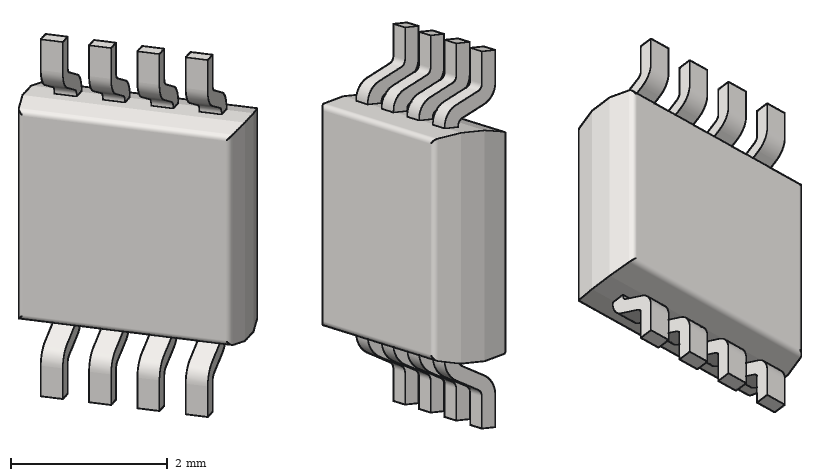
import cadquery as cq
import math


overall_height = 4.9
housing_side = 3.0
housing_depth = 1.1

band_depth = 0.35
wall_taper = 10.0
face_edge_radius = 0.08

leads_per_side = 4
lead_pitch = 0.65
lead_width = 0.3
lead_thickness = 0.2
foot_length = 0.42
bend_angle = 65.0
inner_bend_radius = 0.1
outer_bend_radius = inner_bend_radius + lead_thickness


def make_housing():
    """Square block whose side walls taper from a middle band to rounded large faces."""
    half_band = band_depth / 2
    taper_depth = housing_depth / 2 - half_band
    housing = cq.Workplane("XZ").rect(housing_side, housing_side).extrude(half_band, both=True)
    for face in ("<Y", ">Y"):
        tapered_half = (
            housing.faces(face)
            .workplane(centerOption="CenterOfBoundBox")
            .rect(housing_side, housing_side)
            .extrude(taper_depth, taper=wall_taper, combine=False)
        )
        housing = housing.union(tapered_half)
    return housing.faces("<Y or >Y").edges().fillet(face_edge_radius).solids()


def point_on_bend(center, radius, degrees):
    """Y, Z point on a bend; the angle runs from +Y towards +Z."""
    angle = math.radians(degrees)
    return (center[0] + radius * math.cos(angle), center[1] + radius * math.sin(angle))


def make_lead(x):
    """Upper lead centred at x: out of the housing, sloping to -Y, then along Z again."""
    tip_z = overall_height / 2
    root_z = housing_side / 2
    foot_front_y = -housing_depth / 2
    foot_back_y = foot_front_y + lead_thickness
    root_front_y = 0.0
    root_back_y = root_front_y + lead_thickness

    bend = math.radians(bend_angle)
    foot_center_y = foot_back_y + inner_bend_radius
    root_center_y = root_front_y - inner_bend_radius
    radius_sum = inner_bend_radius + outer_bend_radius
    slope_run = root_center_y - foot_center_y + radius_sum * math.cos(bend)
    slope_rise = slope_run / math.tan(bend)
    foot_center = (foot_center_y, tip_z - foot_length)
    root_center = (root_center_y, foot_center[1] - radius_sum * math.sin(bend) - slope_rise)

    half_bend = bend_angle / 2
    foot_angle = 180.0
    profile = (
        cq.Workplane("YZ", origin=(x, 0, 0))
        .moveTo(root_back_y, root_z)
        .lineTo(root_back_y, root_center[1])
        .threePointArc(
            point_on_bend(root_center, outer_bend_radius, half_bend),
            point_on_bend(root_center, outer_bend_radius, bend_angle),
        )
        .lineTo(*point_on_bend(foot_center, inner_bend_radius, foot_angle + bend_angle))
        .threePointArc(
            point_on_bend(foot_center, inner_bend_radius, foot_angle + half_bend),
            point_on_bend(foot_center, inner_bend_radius, foot_angle),
        )
        .lineTo(foot_back_y, tip_z)
        .lineTo(foot_front_y, tip_z)
        .lineTo(foot_front_y, foot_center[1])
        .threePointArc(
            point_on_bend(foot_center, outer_bend_radius, foot_angle + half_bend),
            point_on_bend(foot_center, outer_bend_radius, foot_angle + bend_angle),
        )
        .lineTo(*point_on_bend(root_center, inner_bend_radius, bend_angle))
        .threePointArc(
            point_on_bend(root_center, inner_bend_radius, half_bend),
            point_on_bend(root_center, inner_bend_radius, 0.0),
        )
        .lineTo(root_front_y, root_z)
        .close()
    )
    return profile.extrude(lead_width / 2, both=True).solids()


housing = make_housing()

leads = []
for index in range(leads_per_side):
    lead_x = (index - (leads_per_side - 1) / 2) * lead_pitch
    upper_lead = make_lead(lead_x).val()
    lower_lead = upper_lead.mirror("XY")
    leads += [upper_lead, lower_lead]

result = cq.Compound.makeCompound([housing.val(), *leads])